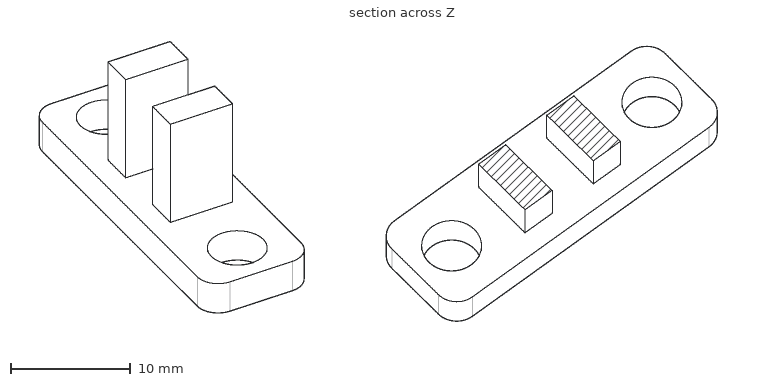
import cadquery as cq

plate_length = 30.0
plate_width = plate_length / 3
plate_thickness = 3.0
corner_radius = plate_width / 5

hole_diameter = plate_width / 2
hole_edge_wall = 1.5
hole_offset = plate_length / 2 - hole_edge_wall - hole_diameter / 2

post_length = 3.0
post_width = plate_width - 2 * corner_radius
post_height = plate_width
post_gap = 4.5
right_post_start = plate_width / 5
right_post_x = right_post_start + post_length / 2
left_post_x = right_post_x - post_gap - post_length


def make_plate():
    """Rounded plate resting on Z = 0, with two through holes."""
    plate = cq.Workplane("XY").box(
        plate_length, plate_width, plate_thickness, centered=(True, True, False)
    )
    return (
        plate.edges("|Z")
        .fillet(corner_radius)
        .faces(">Z")
        .workplane()
        .pushPoints([(-hole_offset, 0), (hole_offset, 0)])
        .hole(hole_diameter)
    )


def make_posts():
    """Rectangular posts that start at the bottom of the plate and rise above it."""
    return (
        cq.Workplane("XY")
        .pushPoints([(left_post_x, 0), (right_post_x, 0)])
        .rect(post_length, post_width)
        .extrude(plate_thickness + post_height)
    )


result = make_plate().union(make_posts())